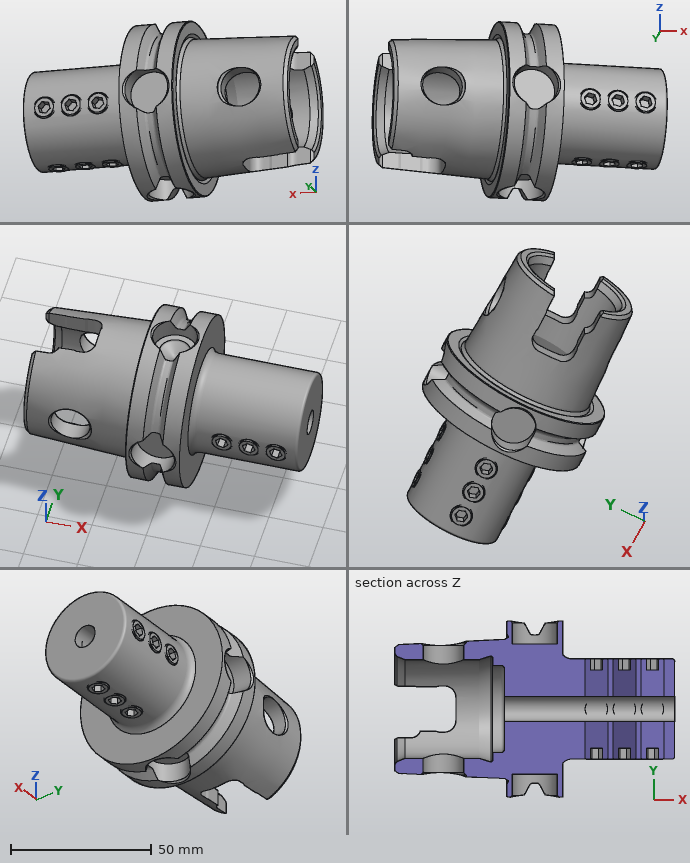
import cadquery as cq
import math

TOTAL_LENGTH = 99.95
FLANGE_START = 40.0
FLANGE_END = 60.0
FLANGE_RADIUS = 31.5
FLANGE_MIDDLE = (FLANGE_START + FLANGE_END) / 2

SHANK_TAPER = 0.05
SHANK_BASE_X = 38.5
SHANK_BASE_RADIUS = 24.9
SHANK_NECK_LENGTH = 0.7
MOUTH_RADIUS = 22.1
MOUTH_BEVEL_LENGTH = 1.3
MOUTH_BEVEL_RADIUS = SHANK_BASE_RADIUS - SHANK_TAPER * (SHANK_BASE_X - MOUTH_BEVEL_LENGTH)

FACE_GROOVE_OUTER = 26.9
FACE_GROOVE_ROOT = 25.7
FACE_GROOVE_DEPTH = 0.6
FACE_EDGE_CHAMFER = 0.3

GRIP_ROOT_RADIUS = 27.7
GRIP_ROOT_WIDTH = 1.8
GRIP_ROOT_FILLET = 1.0
GRIP_FLANK_ANGLE = math.radians(30)

NOSE_RADIUS = 18.0
NOSE_FILLET = 3.6
NOSE_FILLET_END = 63.0
NOSE_EDGE_ROUND = 1.0

MOUTH_BORE_RADIUS = 19.8
MOUTH_STEP_X = 0.8
MOUTH_STEP_RADIUS = 18.7
BORE_START_X = 3.6
BORE_RADIUS = 17.6
UNDERCUT_START_X = 30.2
UNDERCUT_RADIUS = 18.9
UNDERCUT_FILLET = 0.7
SHOULDER_X = 35.0
POCKET_RADIUS = 15.5
POCKET_FILLET = 1.2
POCKET_FLOOR_X = 39.2
COOLANT_RADIUS = 4.4

SLOT_DEPTH = 21.8
SLOT_CORNER = 4.0
SLOT_HALF_WIDTH = 7.9
SLOT_RELIEF_HALF_WIDTH = 8.2
SLOT_RELIEF_START = 15.8
SLOT_RELIEF_RAMP = 1.0
SLOT_STEP_X = 7.2
SLOT_STEP_RUN = 0.8
SLOT_STEP_HALF_WIDTH = 8.1
SLOT_ENTRY_LENGTH = 1.2
SLOT_ENTRY_WIDENING = 0.6
WIDE_MOUTH_HALF_WIDTH = 10.2
WIDE_MOUTH_LENGTH = 5.9
WIDE_MOUTH_CORNER = 3.4

BALL_HOLE_X = 17.4
BALL_HOLE_RADIUS = 7.2
BALL_HOLE_BEVEL = 0.9

RIM_POCKET_RADIUS = 8.0
RIM_POCKET_FLOOR = 23.3
RIM_POCKET_CHAMFER = 0.7
RIM_POCKET_ANGLES = (0, 90, 180, 270)
SEAT_RADIUS = 5.6
SEAT_RIM_CHAMFER = 0.5
SEAT_CONE_DEPTH = 3.0

SCREW_RADIUS = 4.0
SCREW_CHAMFER = 0.5
SCREW_POSITIONS = (72.0, 82.0, 92.0)
SCREW_ANGLES = (0, 90, 180)
SCREW_SOCKET_FLATS = 4.0
SCREW_SOCKET_DEPTH = 4.0
SCREW_SOCKET_TURN = -13


def revolve_about_x(profile):
    return profile.close().revolve(360, (0, 0, 0), (1, 0, 0))


def outer_body():
    fillet_turn = math.asin((NOSE_FILLET_END - FLANGE_END) / NOSE_FILLET)

    def fillet_point(turn):
        return (
            NOSE_FILLET_END - NOSE_FILLET * math.sin(turn),
            NOSE_RADIUS + NOSE_FILLET * (1 - math.cos(turn)),
        )

    profile = (
        cq.Workplane("XY")
        .moveTo(0, 0)
        .lineTo(0, MOUTH_RADIUS)
        .lineTo(MOUTH_BEVEL_LENGTH, MOUTH_BEVEL_RADIUS)
        .lineTo(SHANK_BASE_X, SHANK_BASE_RADIUS)
        .lineTo(SHANK_BASE_X + SHANK_NECK_LENGTH, SHANK_BASE_RADIUS)
        .lineTo(FLANGE_START + FACE_GROOVE_DEPTH, FACE_GROOVE_ROOT)
        .lineTo(FLANGE_START, FACE_GROOVE_OUTER)
        .lineTo(FLANGE_START, FLANGE_RADIUS - FACE_EDGE_CHAMFER)
        .lineTo(FLANGE_START + FACE_EDGE_CHAMFER, FLANGE_RADIUS)
        .lineTo(FLANGE_END, FLANGE_RADIUS)
        .lineTo(*fillet_point(fillet_turn))
        .threePointArc(fillet_point(fillet_turn / 2), fillet_point(0))
        .lineTo(TOTAL_LENGTH, NOSE_RADIUS)
        .lineTo(TOTAL_LENGTH, 0)
    )
    return revolve_about_x(profile).faces(">X").edges().fillet(NOSE_EDGE_ROUND)


def grip_groove():
    turn = math.pi / 2 - GRIP_FLANK_ANGLE
    root_half = GRIP_ROOT_WIDTH / 2
    flank_half = root_half + GRIP_ROOT_FILLET * math.sin(turn)
    flank_radius = GRIP_ROOT_RADIUS + GRIP_ROOT_FILLET * (1 - math.cos(turn))
    top_half = flank_half + (FLANGE_RADIUS - flank_radius) * math.tan(GRIP_FLANK_ANGLE)
    mid_half = root_half + GRIP_ROOT_FILLET * math.sin(turn / 2)
    mid_radius = GRIP_ROOT_RADIUS + GRIP_ROOT_FILLET * (1 - math.cos(turn / 2))
    profile = (
        cq.Workplane("XY")
        .moveTo(FLANGE_MIDDLE - top_half, FLANGE_RADIUS)
        .lineTo(FLANGE_MIDDLE - flank_half, flank_radius)
        .threePointArc(
            (FLANGE_MIDDLE - mid_half, mid_radius), (FLANGE_MIDDLE - root_half, GRIP_ROOT_RADIUS)
        )
        .lineTo(FLANGE_MIDDLE + root_half, GRIP_ROOT_RADIUS)
        .threePointArc(
            (FLANGE_MIDDLE + mid_half, mid_radius), (FLANGE_MIDDLE + flank_half, flank_radius)
        )
        .lineTo(FLANGE_MIDDLE + top_half, FLANGE_RADIUS)
    )
    return revolve_about_x(profile)


def cavity():
    """Stepped mouth, bore, undercut and pocket, with the coolant hole through the nose."""
    profile = (
        cq.Workplane("XY")
        .moveTo(0, 0)
        .lineTo(0, MOUTH_BORE_RADIUS)
        .lineTo(MOUTH_STEP_X, MOUTH_STEP_RADIUS)
        .lineTo(BORE_START_X, BORE_RADIUS)
        .lineTo(UNDERCUT_START_X, BORE_RADIUS)
        .lineTo(SHOULDER_X - UNDERCUT_FILLET, UNDERCUT_RADIUS)
        .radiusArc((SHOULDER_X, UNDERCUT_RADIUS - UNDERCUT_FILLET), UNDERCUT_FILLET)
        .lineTo(SHOULDER_X, POCKET_RADIUS)
        .lineTo(POCKET_FLOOR_X - POCKET_FILLET, POCKET_RADIUS)
        .radiusArc((POCKET_FLOOR_X, POCKET_RADIUS - POCKET_FILLET), POCKET_FILLET)
        .lineTo(POCKET_FLOOR_X, COOLANT_RADIUS)
        .lineTo(TOTAL_LENGTH, COOLANT_RADIUS)
        .lineTo(TOTAL_LENGTH, 0)
    )
    return revolve_about_x(profile)


def drive_slots():
    """One prism through the whole shank; the -Y side of its mouth is wider."""
    corner_x = SLOT_DEPTH - SLOT_CORNER
    end_half = SLOT_RELIEF_HALF_WIDTH - SLOT_CORNER
    ramp_x = SLOT_RELIEF_START - SLOT_RELIEF_RAMP
    rise = WIDE_MOUTH_HALF_WIDTH - SLOT_HALF_WIDTH
    run = math.sqrt(WIDE_MOUTH_CORNER**2 - (WIDE_MOUTH_CORNER - rise) ** 2)
    return (
        cq.Workplane("XY")
        .moveTo(0, SLOT_STEP_HALF_WIDTH + SLOT_ENTRY_WIDENING)
        .lineTo(SLOT_ENTRY_LENGTH, SLOT_STEP_HALF_WIDTH)
        .lineTo(SLOT_STEP_X, SLOT_STEP_HALF_WIDTH)
        .lineTo(SLOT_STEP_X + SLOT_STEP_RUN, SLOT_HALF_WIDTH)
        .lineTo(ramp_x, SLOT_HALF_WIDTH)
        .lineTo(SLOT_RELIEF_START, SLOT_RELIEF_HALF_WIDTH)
        .lineTo(corner_x, SLOT_RELIEF_HALF_WIDTH)
        .radiusArc((SLOT_DEPTH, end_half), SLOT_CORNER)
        .lineTo(SLOT_DEPTH, -end_half)
        .radiusArc((corner_x, -SLOT_RELIEF_HALF_WIDTH), SLOT_CORNER)
        .lineTo(SLOT_RELIEF_START, -SLOT_RELIEF_HALF_WIDTH)
        .lineTo(ramp_x, -SLOT_HALF_WIDTH)
        .lineTo(WIDE_MOUTH_LENGTH + run, -SLOT_HALF_WIDTH)
        .radiusArc((WIDE_MOUTH_LENGTH, -WIDE_MOUTH_HALF_WIDTH), WIDE_MOUTH_CORNER)
        .lineTo(SLOT_ENTRY_LENGTH, -WIDE_MOUTH_HALF_WIDTH)
        .lineTo(0, -WIDE_MOUTH_HALF_WIDTH - SLOT_ENTRY_WIDENING)
        .close()
        .extrude(FLANGE_RADIUS, both=True)
    )


def ball_hole():
    """Hole along -Y from the axis, with a conical bevel where it leaves the taper."""
    taper_radius = SHANK_BASE_RADIUS - SHANK_TAPER * (SHANK_BASE_X - BALL_HOLE_X)
    rim_depth = math.sqrt(taper_radius**2 - BALL_HOLE_RADIUS**2)
    profile = (
        cq.Workplane("XY", origin=(BALL_HOLE_X, 0, 0))
        .moveTo(0, 0)
        .lineTo(BALL_HOLE_RADIUS, 0)
        .lineTo(BALL_HOLE_RADIUS, -rim_depth)
        .lineTo(BALL_HOLE_RADIUS + BALL_HOLE_BEVEL, -rim_depth - BALL_HOLE_BEVEL)
        .lineTo(BALL_HOLE_RADIUS + BALL_HOLE_BEVEL, -FLANGE_RADIUS)
        .lineTo(0, -FLANGE_RADIUS)
        .close()
    )
    return profile.revolve(360, (0, 0, 0), (0, 1, 0))


def rim_pocket():
    """Pocket entering the rim from +Z, with a beveled entry."""
    entry_start = FLANGE_RADIUS - RIM_POCKET_CHAMFER
    profile = (
        cq.Workplane("XZ", origin=(FLANGE_MIDDLE, 0, 0))
        .moveTo(0, RIM_POCKET_FLOOR)
        .lineTo(RIM_POCKET_RADIUS, RIM_POCKET_FLOOR)
        .lineTo(RIM_POCKET_RADIUS, entry_start)
        .lineTo(RIM_POCKET_RADIUS + RIM_POCKET_CHAMFER, FLANGE_RADIUS)
        .lineTo(0, FLANGE_RADIUS)
        .close()
    )
    return profile.revolve(360, (0, 0, 0), (0, 1, 0))


def conical_seat():
    """Cone with a beveled rim in the floor of the +Z rim pocket."""
    cone_radius = SEAT_RADIUS - SEAT_RIM_CHAMFER
    cone_top = RIM_POCKET_FLOOR - SEAT_RIM_CHAMFER
    profile = (
        cq.Workplane("XZ", origin=(FLANGE_MIDDLE, 0, 0))
        .moveTo(0, RIM_POCKET_FLOOR)
        .lineTo(SEAT_RADIUS, RIM_POCKET_FLOOR)
        .lineTo(cone_radius, cone_top)
        .lineTo(0, cone_top - SEAT_CONE_DEPTH)
        .close()
    )
    return profile.revolve(360, (0, 0, 0), (0, 1, 0))


def screw_blank():
    """Screw without its socket, reaching from the nose surface to the coolant hole."""
    return (
        cq.Workplane("XZ")
        .workplane(offset=COOLANT_RADIUS)
        .circle(SCREW_RADIUS)
        .extrude(NOSE_RADIUS - COOLANT_RADIUS)
        .faces("<Y")
        .chamfer(SCREW_CHAMFER)
    )


def screw_socket():
    corner_diameter = SCREW_SOCKET_FLATS / math.cos(math.pi / 6)
    return (
        cq.Workplane("XZ")
        .workplane(offset=NOSE_RADIUS - SCREW_SOCKET_DEPTH)
        .polygon(6, corner_diameter)
        .extrude(SCREW_SOCKET_DEPTH)
        .rotate((0, 0, 0), (0, 1, 0), -SCREW_SOCKET_TURN)
    )


def at_screw_places(shape):
    return [
        shape.rotate((0, 0, 0), (1, 0, 0), angle).translate((x, 0, 0))
        for angle in SCREW_ANGLES
        for x in SCREW_POSITIONS
    ]


def holder():
    part = outer_body().cut(grip_groove()).cut(cavity()).cut(drive_slots())
    for hole in (ball_hole(), ball_hole().mirror("XZ")):
        part = part.cut(hole)
    for angle in RIM_POCKET_ANGLES:
        part = part.cut(rim_pocket().rotate((0, 0, 0), (1, 0, 0), angle))
    part = part.cut(conical_seat())
    for blank in at_screw_places(screw_blank()):
        part = part.cut(blank)
    return part


set_screws = at_screw_places(screw_blank().cut(screw_socket()))
result = cq.Compound.makeCompound([holder().val(), *[screw.val() for screw in set_screws]])